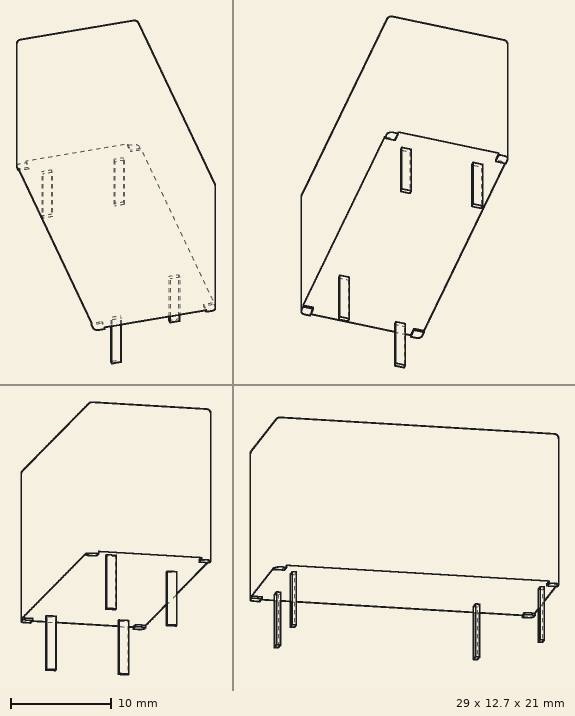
import cadquery as cq

length = 29.0
width = 12.7
total_height = 21.0
pin_length = 5.5
edge_radius = 0.5

foot_size = 1.07
foot_height = 0.2

pin_thickness = 0.4
pin_width = 1.0
pin_row_offset = 3.75
coil_pin_x = -12.18
contact_pin_x = 8.18
end_contact_pin_x = 13.2
pin_positions = [
    (coil_pin_x, -pin_row_offset),
    (coil_pin_x, pin_row_offset),
    (contact_pin_x, pin_row_offset),
    (end_contact_pin_x, -pin_row_offset),
]

case_height = total_height - pin_length


def make_case():
    """Box with corner feet and rounded upright and top edges."""
    block = (
        cq.Workplane("XY")
        .workplane(offset=-foot_height)
        .rect(length, width)
        .extrude(case_height + foot_height)
        .edges("|Z or >Z")
        .fillet(edge_radius)
    )
    channel_sizes = [
        (length - 2 * foot_size, width),
        (length, width - 2 * foot_size),
    ]
    for size_x, size_y in channel_sizes:
        channel = cq.Workplane("XY").rect(size_x, size_y).extrude(-foot_height)
        block = block.cut(channel)
    return block


def make_pins():
    """Flat pins hanging from the case underside."""
    return (
        cq.Workplane("XY")
        .pushPoints(pin_positions)
        .rect(pin_thickness, pin_width)
        .extrude(-pin_length)
    )


result = make_case().union(make_pins())